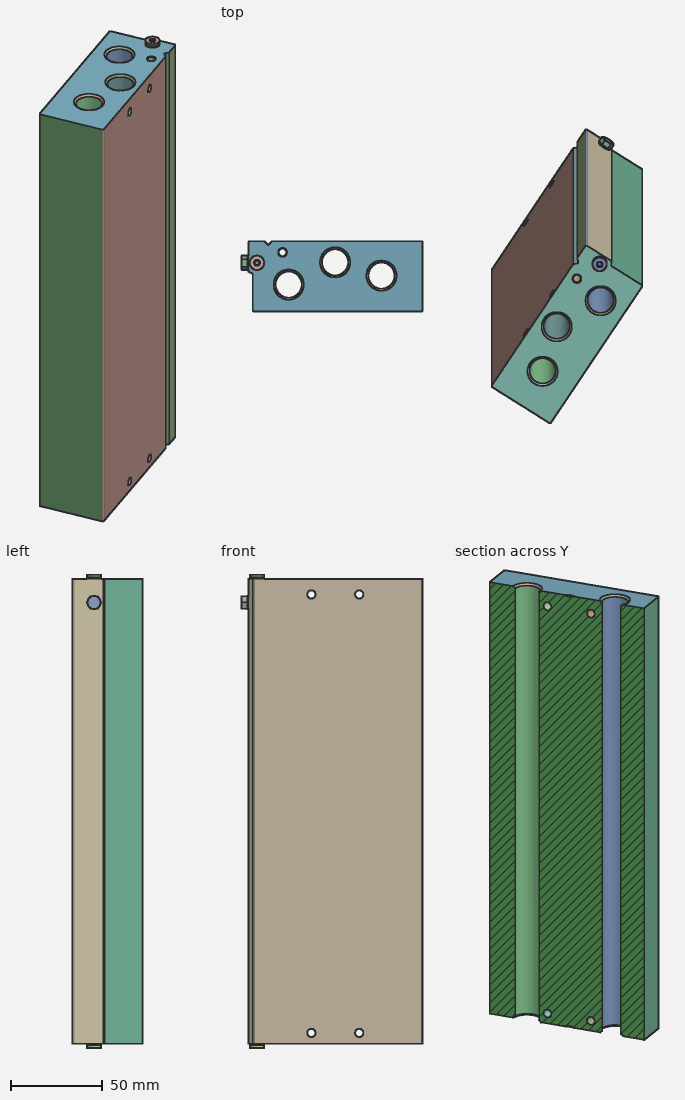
import cadquery as cq
import math

BLOCK_WIDTH = 95.0
BLOCK_DEPTH = 38.5
BLOCK_HEIGHT = 253.8
STEP_WIDTH = 2.3
STEP_LOW_Y = 20.7
STEP_HIGH_Y = 21.7
CORNER_RADIUS = 0.8

GROOVE_X = 10.9
GROOVE_DEPTH = 2.0

PORT_DIAMETER = 14.2
PORT_MOUTH_DIAMETER = 16.5
PORT_PITCH = 25.3
FIRST_PORT_X = 22.0
PORT_YS = [14.7, 27.0, 19.6]

PILOT_DIAMETER = 4.1
PILOT_MOUTH_DIAMETER = 5.0
PILOT_X = 18.5
PILOT_Y = 32.3

MOUNT_DIAMETER = 4.5
MOUNT_COLUMNS = 2
MOUNT_PITCH = 26.0
FIRST_MOUNT_X = 34.5
MOUNT_TOP_MARGIN = 8.5
MOUNT_BOTTOM_MARGIN = 6.0

PLUG_Y = 26.5
END_PLUG_X = 4.7
END_WASHER_THICKNESS = 0.8
END_WASHER_DIAMETER = 8.0
END_HEAD_DIAMETER = 7.8
END_PLUG_HEIGHT = 2.3
SOCKET_DIAMETER = 2.45
SOCKET_MOUTH_DIAMETER = 3.4
SOCKET_DEPTH = 1.5

SIDE_PLUG_LENGTH = 4.0
SIDE_PLUG_TOP_MARGIN = 13.0
SIDE_WASHER_DIAMETER = 7.2
SIDE_WASHER_THICKNESS = 0.8
HEX_SIDES = 6
HEX_ACROSS_FLATS = 7.0
HEX_CHAMFER_ANGLE = 30


def chamfered_through_hole(x, y, diameter, mouth_diameter):
    """Vertical hole through the block, with a 45 degree chamfer at both ends."""
    radius = diameter / 2
    mouth_radius = mouth_diameter / 2
    chamfer = mouth_radius - radius
    half_section = [
        (0, 0),
        (mouth_radius, 0),
        (radius, chamfer),
        (radius, BLOCK_HEIGHT - chamfer),
        (mouth_radius, BLOCK_HEIGHT),
        (0, BLOCK_HEIGHT),
    ]
    hole = cq.Workplane("XZ").polyline(half_section).close().revolve(360, (0, 0), (0, 1))
    return hole.translate((x, y, 0))


def make_block():
    outline = [
        (STEP_WIDTH, 0),
        (BLOCK_WIDTH, 0),
        (BLOCK_WIDTH, BLOCK_DEPTH),
        (GROOVE_X + GROOVE_DEPTH, BLOCK_DEPTH),
        (GROOVE_X, BLOCK_DEPTH - GROOVE_DEPTH),
        (GROOVE_X - GROOVE_DEPTH, BLOCK_DEPTH),
        (0, BLOCK_DEPTH),
        (0, STEP_HIGH_Y),
        (STEP_WIDTH, STEP_LOW_Y),
    ]
    block = cq.Workplane("XY").polyline(outline).close().extrude(BLOCK_HEIGHT)

    outer_corners = [
        (STEP_WIDTH, 0),
        (BLOCK_WIDTH, 0),
        (BLOCK_WIDTH, BLOCK_DEPTH),
        (0, BLOCK_DEPTH),
    ]
    for x, y in outer_corners:
        corner_edge = cq.selectors.NearestToPointSelector((x, y, BLOCK_HEIGHT / 2))
        block = block.edges("|Z").edges(corner_edge).fillet(CORNER_RADIUS)

    for index, port_y in enumerate(PORT_YS):
        port_x = FIRST_PORT_X + index * PORT_PITCH
        block = block.cut(chamfered_through_hole(port_x, port_y, PORT_DIAMETER, PORT_MOUTH_DIAMETER))
    block = block.cut(chamfered_through_hole(PILOT_X, PILOT_Y, PILOT_DIAMETER, PILOT_MOUTH_DIAMETER))

    mount_points = [
        (FIRST_MOUNT_X + column * MOUNT_PITCH, z)
        for column in range(MOUNT_COLUMNS)
        for z in (MOUNT_BOTTOM_MARGIN, BLOCK_HEIGHT - MOUNT_TOP_MARGIN)
    ]
    mounts = cq.Workplane("XZ").pushPoints(mount_points).circle(MOUNT_DIAMETER / 2).extrude(-BLOCK_DEPTH)
    return block.cut(mounts)


def make_end_plug():
    """End plug standing on Z = 0, with its head and socket facing up."""
    washer_radius = END_WASHER_DIAMETER / 2
    head_radius = END_HEAD_DIAMETER / 2
    socket_radius = SOCKET_DIAMETER / 2
    mouth_radius = SOCKET_MOUTH_DIAMETER / 2
    socket_floor = END_PLUG_HEIGHT - SOCKET_DEPTH
    half_section = [
        (0, 0),
        (washer_radius, 0),
        (washer_radius, END_WASHER_THICKNESS),
        (head_radius, END_WASHER_THICKNESS),
        (head_radius, END_PLUG_HEIGHT),
        (mouth_radius, END_PLUG_HEIGHT),
        (socket_radius, END_PLUG_HEIGHT - (mouth_radius - socket_radius)),
        (socket_radius, socket_floor),
        (0, socket_floor),
    ]
    return cq.Workplane("XZ").polyline(half_section).close().revolve(360, (0, 0), (0, 1))


def make_side_plug():
    """Plug on the left-most face, pointing to -X, with two flats of its hexagon level."""
    hex_corner_radius = HEX_ACROSS_FLATS / 2 / math.cos(math.pi / HEX_SIDES)
    washer = cq.Workplane("YZ").circle(SIDE_WASHER_DIAMETER / 2).extrude(-SIDE_WASHER_THICKNESS)
    hexagon = (
        cq.Workplane("YZ", origin=(-SIDE_WASHER_THICKNESS, 0, 0))
        .polygon(HEX_SIDES, 2 * hex_corner_radius)
        .extrude(SIDE_WASHER_THICKNESS - SIDE_PLUG_LENGTH)
    )

    tip_radius = HEX_ACROSS_FLATS / 2
    cone_length = (hex_corner_radius - tip_radius) * math.tan(math.radians(HEX_CHAMFER_ANGLE))
    turned_section = [
        (0, 0),
        (0, hex_corner_radius),
        (cone_length - SIDE_PLUG_LENGTH, hex_corner_radius),
        (-SIDE_PLUG_LENGTH, tip_radius),
        (-SIDE_PLUG_LENGTH, 0),
    ]
    turned_blank = cq.Workplane("XY").polyline(turned_section).close().revolve(360, (0, 0), (1, 0))

    plug = washer.union(hexagon.intersect(turned_blank))
    return plug.translate((0, PLUG_Y, BLOCK_HEIGHT - SIDE_PLUG_TOP_MARGIN))


block = make_block()
side_plug = make_side_plug()

end_plugs = []
for base_z, turn in ((BLOCK_HEIGHT, 0), (0, 180)):
    end_plug = make_end_plug().rotate((0, 0, 0), (1, 0, 0), turn).translate((END_PLUG_X, PLUG_Y, base_z))
    end_plugs.append(end_plug.val())

result = cq.Compound.makeCompound([block.val(), side_plug.val(), *end_plugs])